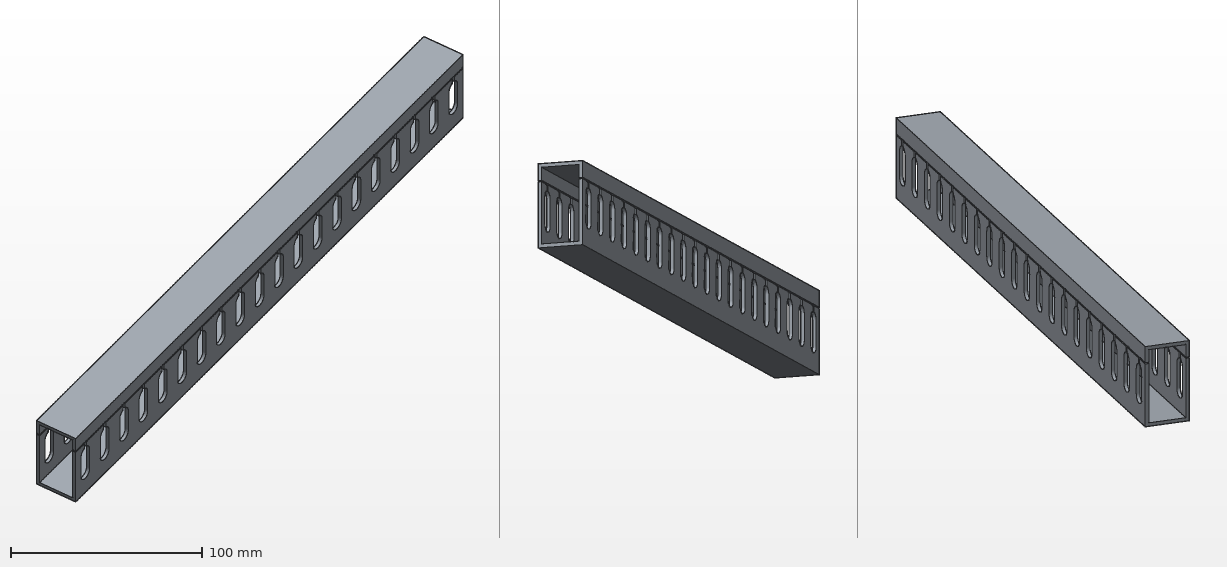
import cadquery as cq

length = 360.0
width = 25.0
height = 45.0
wall = 2.0

cover_height = 9.0
seam_gap = 0.7
base_height = height - cover_height - seam_gap

slot_count = 20
slot_pitch = length / slot_count
slot_width = 8.0
slot_bottom = 10.0
slot_top = 32.0

slit_width = 2.0


def channel(channel_height):
    """Straight U-channel standing on its web, open at the top and at both ends."""
    outer = cq.Workplane("XY").box(width, length, channel_height, centered=(True, True, False))
    cavity = (
        cq.Workplane("XY")
        .workplane(offset=wall)
        .box(width - 2 * wall, length, channel_height, centered=(True, True, False))
    )
    return outer.cut(cavity)


def finger_slots():
    """Cutters for every slot and its slit, passing through both side walls."""
    slot_centres = [(-length / 2 + (i + 0.5) * slot_pitch, 0) for i in range(slot_count)]
    slot_middle = (slot_bottom + slot_top) / 2
    slots = (
        cq.Workplane("YZ")
        .center(0, slot_middle)
        .pushPoints(slot_centres)
        .slot2D(slot_top - slot_bottom, slot_width, 90)
        .extrude(width / 2, both=True)
    )
    slit_height = base_height - slot_middle
    slits = (
        cq.Workplane("YZ")
        .center(0, slot_middle + slit_height / 2)
        .pushPoints(slot_centres)
        .rect(slit_width, slit_height)
        .extrude(width / 2, both=True)
    )
    return slots.union(slits)


def make_base():
    """Slotted channel that forms the floor and the side walls."""
    return channel(base_height).cut(finger_slots())


def make_cover():
    """Shallow channel turned upside down, closing the base from above."""
    upright = channel(cover_height)
    upside_down = upright.rotate((0, 0, 0), (0, 1, 0), 180)
    return upside_down.translate((0, 0, height))


base = make_base()
cover = make_cover()

result = cq.Compound.makeCompound([base.val(), cover.val()])